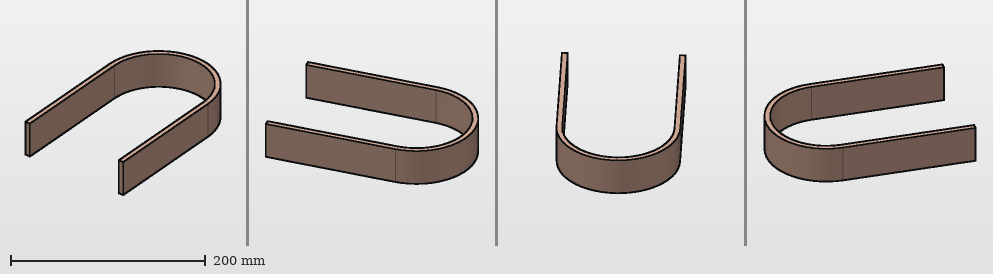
import cadquery as cq

total_length = 205.0
outer_width = 127.0
height = 40.0
thickness = 6.0

outer_radius = outer_width / 2
inner_radius = outer_radius - thickness
leg_length = total_length - outer_radius


def u_outline(radius):
    """Closed outline of two straight legs joined by a half-round bend centred on the origin."""
    return (
        cq.Workplane("XY")
        .moveTo(-radius, -leg_length)
        .lineTo(-radius, 0)
        .threePointArc((0, radius), (radius, 0))
        .lineTo(radius, -leg_length)
        .close()
    )


outer_body = u_outline(outer_radius).extrude(height)
inner_space = u_outline(inner_radius).extrude(height)
result = outer_body.cut(inner_space)